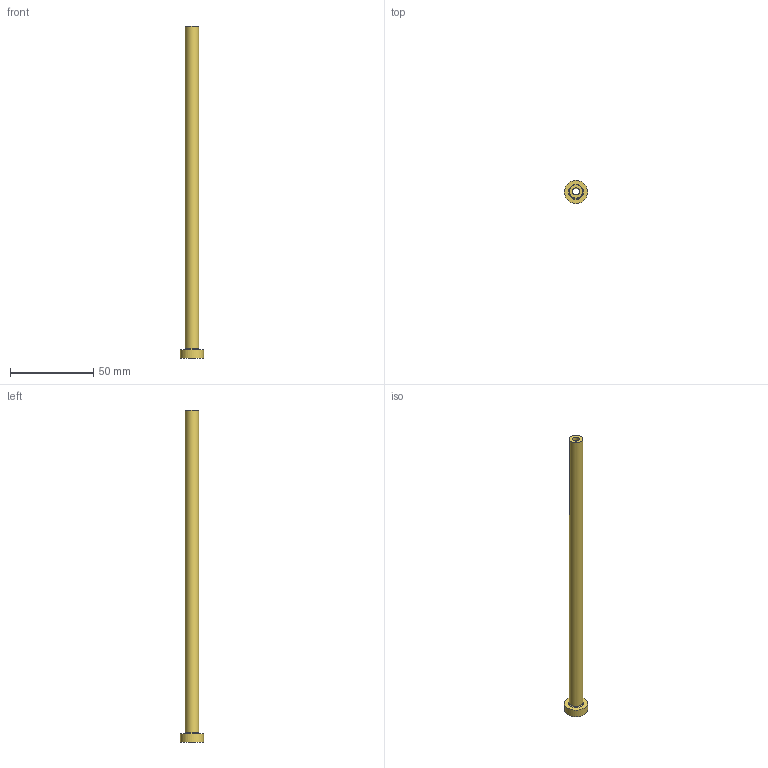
import cadquery as cq

total_length = 200.0
head_diameter = 14.0
head_height = 5.0
shank_diameter = 8.0
bore_diameter = 4.2
neck_fillet_radius = 0.5

head_radius = head_diameter / 2
shank_radius = shank_diameter / 2
bore_radius = bore_diameter / 2


def make_sleeve():
    """Revolve the half section, with a concave fillet where the shank meets the head."""
    half_section = (
        cq.Workplane("XZ")
        .moveTo(-bore_radius, 0)
        .lineTo(-head_radius, 0)
        .lineTo(-head_radius, head_height)
        .lineTo(-shank_radius - neck_fillet_radius, head_height)
        .radiusArc((-shank_radius, head_height + neck_fillet_radius), -neck_fillet_radius)
        .lineTo(-shank_radius, total_length)
        .lineTo(-bore_radius, total_length)
        .close()
    )
    return half_section.revolve(360, (0, 0, 0), (0, 1, 0))


result = make_sleeve()